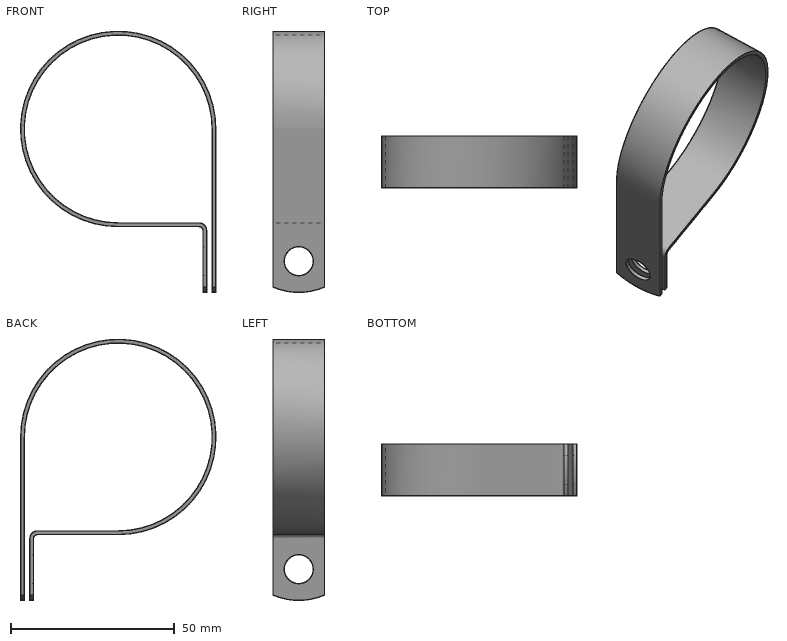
import cadquery as cq
import math

total_height = 79.7
strap_width = 15.9
thickness = 1.2
outer_radius = 29.8
tab_gap = 1.6
bend_inner_radius = 1.2
hole_diameter = 8.8
hole_height = 9.6
tip_rise = 1.7

inner_radius = outer_radius - thickness
bend_outer_radius = bend_inner_radius + thickness
tip_z = outer_radius - total_height
short_tab_outside = inner_radius - tab_gap
short_tab_inside = short_tab_outside - thickness
bend_x = short_tab_outside - bend_outer_radius
bend_z = -inner_radius - bend_outer_radius
half_width = strap_width / 2


def loop_midpoint(radius):
    """Point halfway along the three-quarter loop, up and to -X."""
    offset = radius / math.sqrt(2)
    return (-offset, offset)


def make_strap():
    """Bent strip: long tab, three-quarter loop, flat floor, bend and short tab."""
    return (
        cq.Workplane("XZ", origin=(0, half_width, 0))
        .moveTo(outer_radius, tip_z)
        .lineTo(outer_radius, 0)
        .threePointArc(loop_midpoint(outer_radius), (0, -outer_radius))
        .lineTo(bend_x, -outer_radius)
        .radiusArc((short_tab_inside, bend_z), bend_inner_radius)
        .lineTo(short_tab_inside, tip_z)
        .lineTo(short_tab_outside, tip_z)
        .lineTo(short_tab_outside, bend_z)
        .radiusArc((bend_x, -inner_radius), -bend_outer_radius)
        .lineTo(0, -inner_radius)
        .threePointArc(loop_midpoint(inner_radius), (inner_radius, 0))
        .lineTo(inner_radius, tip_z)
        .close()
        .extrude(strap_width)
    )


def make_tab_envelope():
    """Strap outline seen along X, with an arc across the tab tips."""
    return (
        cq.Workplane("YZ", origin=(-outer_radius, 0, 0))
        .moveTo(-half_width, outer_radius)
        .lineTo(-half_width, tip_z + tip_rise)
        .threePointArc((0, tip_z), (half_width, tip_z + tip_rise))
        .lineTo(half_width, outer_radius)
        .close()
        .extrude(2 * outer_radius)
    )


def make_bolt_hole():
    """Cylinder along X through both tabs."""
    return (
        cq.Workplane("YZ")
        .center(0, tip_z + hole_height)
        .circle(hole_diameter / 2)
        .extrude(outer_radius)
    )


result = make_strap().intersect(make_tab_envelope()).cut(make_bolt_hole())